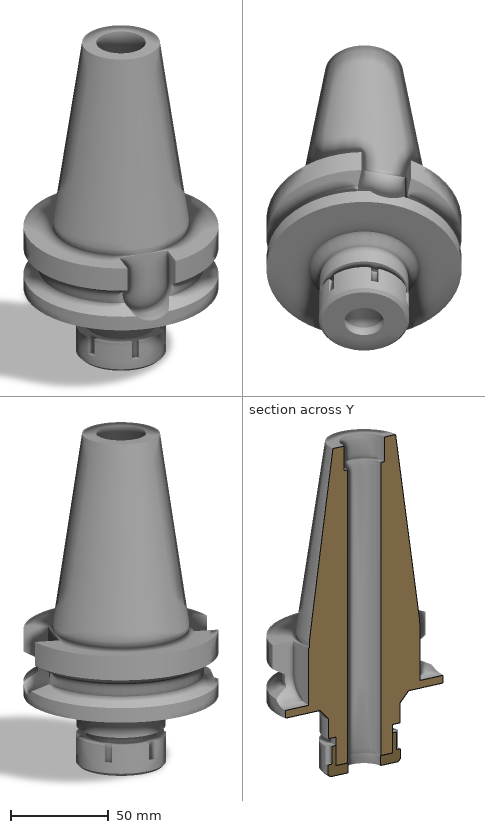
import cadquery as cq

total_height = 176.8
taper_base_z = 75.1
flange_top_z = 72.3
flange_bottom_z = 37.0
collar_top_z = 31.5
collar_bottom_z = 20.7

taper_top_radius = 20.0
taper_base_radius = 35.0

flange_radius = 50.0
groove_radius = 42.6
upper_rim_bottom_z = 59.5
groove_floor_top_z = 55.3
groove_floor_bottom_z = 48.8
lower_rim_top_z = 44.7

drive_slot_width = 26.2
drive_slot_floor_x = 35.4
drive_slot_bottom_z = 41.4

shoulder_radius = 28.1
collar_radius = 22.8
spigot_radius = 18.0
spigot_bottom_z = 5.3

pull_stud_radius = 12.7
pull_stud_depth = 13.3
holder_bore_radius = 10.6
nut_bore_radius = 10.0

nut_radius = 23.2
nut_height = 16.5
nut_chamfer = 1.6
wrench_slot_count = 6
wrench_slot_width = 3.9
wrench_slot_depth = 2.7
wrench_slot_bottom_z = 6.9


def make_bore(radius, bottom_z, top_z):
    """Cylinder on the Z axis between two heights."""
    return cq.Workplane("XY", origin=(0, 0, bottom_z)).circle(radius).extrude(top_z - bottom_z)


def make_drive_slot():
    """Cutter for the +X drive slot: open at the top and outside, semicircular at the bottom."""
    half_width = drive_slot_width / 2
    arc_center_z = drive_slot_bottom_z + half_width
    return (
        cq.Workplane("YZ", origin=(drive_slot_floor_x, 0, 0))
        .moveTo(-half_width, flange_top_z)
        .lineTo(-half_width, arc_center_z)
        .threePointArc((0, drive_slot_bottom_z), (half_width, arc_center_z))
        .lineTo(half_width, flange_top_z)
        .close()
        .extrude(flange_radius - drive_slot_floor_x)
    )


def make_holder():
    """Taper, grooved flange, collar and spigot turned as one piece, then bored and slotted."""
    profile = [
        (0, total_height),
        (taper_top_radius, total_height),
        (taper_base_radius, taper_base_z),
        (taper_base_radius, flange_top_z),
        (flange_radius, flange_top_z),
        (flange_radius, upper_rim_bottom_z),
        (groove_radius, groove_floor_top_z),
        (groove_radius, groove_floor_bottom_z),
        (flange_radius, lower_rim_top_z),
        (flange_radius, flange_bottom_z),
        (shoulder_radius, flange_bottom_z),
        (collar_radius, collar_top_z),
        (collar_radius, collar_bottom_z),
        (spigot_radius, collar_bottom_z),
        (spigot_radius, spigot_bottom_z),
        (0, spigot_bottom_z),
    ]
    body = cq.Workplane("XZ").polyline(profile).close().revolve(360, (0, 0, 0), (0, 1, 0))
    body = body.cut(make_bore(holder_bore_radius, spigot_bottom_z, total_height))
    body = body.cut(make_bore(pull_stud_radius, total_height - pull_stud_depth, total_height))
    for angle in (0, 180):
        body = body.cut(make_drive_slot().rotate((0, 0, 0), (0, 0, 1), angle))
    return body


def make_wrench_slot():
    """Cutter for the +X wrench slot, open at the top and outside of the nut."""
    return (
        cq.Workplane("XY", origin=(nut_radius - wrench_slot_depth, 0, wrench_slot_bottom_z))
        .box(
            2 * wrench_slot_depth,
            wrench_slot_width,
            nut_height - wrench_slot_bottom_z,
            centered=(False, True, False),
        )
    )


def make_nut():
    """Chamfered ring nut with a recess for the spigot and wrench slots around its rim."""
    body = make_bore(nut_radius, 0, nut_height).faces("<Z").edges().chamfer(nut_chamfer)
    body = body.cut(make_bore(nut_bore_radius, 0, nut_height))
    body = body.cut(make_bore(spigot_radius, spigot_bottom_z, nut_height))
    for index in range(wrench_slot_count):
        angle = index * 360 / wrench_slot_count
        body = body.cut(make_wrench_slot().rotate((0, 0, 0), (0, 0, 1), angle))
    return body


holder = make_holder()
nut = make_nut()
result = cq.Compound.makeCompound([holder.val(), nut.val()])